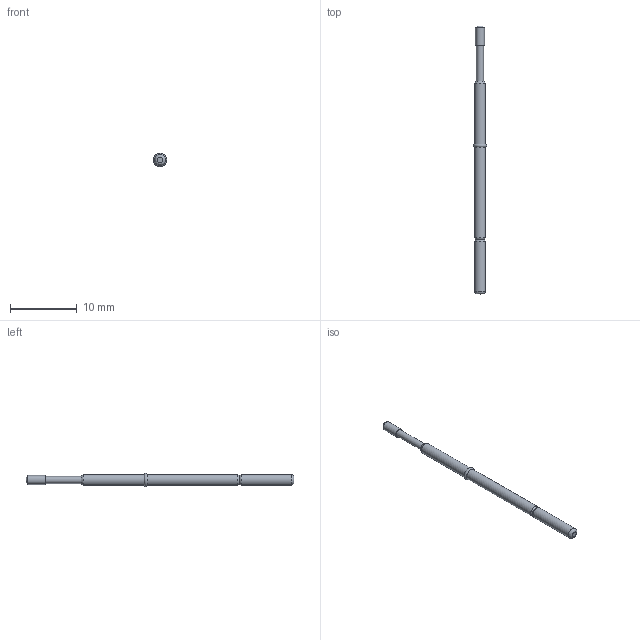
import cadquery as cq
import math

total_length = 40.3
barrel_length = 32.0
groove_center = 8.2
collar_center = 22.3
head_length = 3.0

barrel_diameter = 1.65
collar_diameter = 2.0
neck_diameter = 1.06
head_diameter = 1.36

barrel_end_radius = 0.43
barrel_mouth_length = 0.3
barrel_mouth_inset = 0.15
groove_width = 0.5
groove_depth = 0.12
collar_width = 0.45
head_chamfer = 0.3

barrel_radius = barrel_diameter / 2
collar_radius = collar_diameter / 2
neck_radius = neck_diameter / 2
head_radius = head_diameter / 2
head_start = total_length - head_length


def half_profile():
    """Radius-against-length outline of the pin, on one side of the Y axis."""
    groove_bottom = groove_center - groove_width / 2
    groove_top = groove_center + groove_width / 2
    collar_bottom = collar_center - collar_width / 2
    collar_top = collar_center + collar_width / 2
    corner_setback = barrel_end_radius * (1 - math.sqrt(0.5))
    return (
        cq.Workplane("XY")
        .lineTo(barrel_radius - barrel_end_radius, 0)
        .threePointArc(
            (barrel_radius - corner_setback, corner_setback),
            (barrel_radius, barrel_end_radius),
        )
        .lineTo(barrel_radius, groove_bottom)
        .lineTo(barrel_radius - groove_depth, groove_center)
        .lineTo(barrel_radius, groove_top)
        .lineTo(barrel_radius, collar_bottom)
        .threePointArc((collar_radius, collar_center), (barrel_radius, collar_top))
        .lineTo(barrel_radius, barrel_length - barrel_mouth_length)
        .lineTo(barrel_radius - barrel_mouth_inset, barrel_length)
        .lineTo(neck_radius, barrel_length)
        .lineTo(neck_radius, head_start)
        .lineTo(head_radius, head_start)
        .lineTo(head_radius, total_length - head_chamfer)
        .lineTo(head_radius - head_chamfer, total_length)
        .lineTo(0, total_length)
        .close()
    )


result = half_profile().revolve(360, (0, 0), (0, 1))